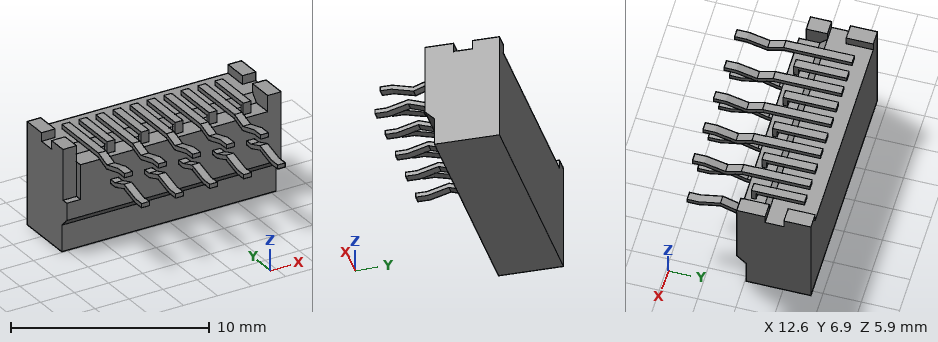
import cadquery as cq


body_length = 12.6
body_height = 5.9
body_depth = 3.88
foot_height = 1.52
foot_setback = 0.49

deck_height = 5.4
ledge_height = 4.98
ramp_back_y = -2.4
ramp_front_y = -2.78
post_length = 0.8
rear_post_depth = 1.41
front_post_depth = body_depth + ramp_back_y

corner_notch_depth = 0.38
corner_notch_bottom = 3.0

pin_count = 10
pin_row_span = 9.0
pin_pitch = pin_row_span / (pin_count - 1)
pin_width = 0.45
pin_thickness = 0.24
pin_back_y = -0.77
pin_tip_y = -6.9
bend_start_y = -4.32
bend_peak_y = -5.17
bend_end_y = -6.29
bend_rise = 0.3
leg_front_y = -3.54
row_spacing = 1.99

upper_row_z = deck_height + pin_thickness / 2
lower_row_z = upper_row_z - row_spacing


def make_post(side, front_y, depth):
    """Corner post from the ledge level to the top; side is -1 or +1 along X."""
    post_x = side * (body_length - post_length) / 2
    return (
        cq.Workplane("XY", origin=(post_x, front_y + depth / 2, ledge_height))
        .rect(post_length, depth)
        .extrude(body_height - ledge_height)
    )


def make_housing():
    """Stepped block with four corner posts and one notched front corner."""
    profile = [
        (0, 0),
        (0, deck_height),
        (ramp_back_y, deck_height),
        (ramp_front_y, ledge_height),
        (-body_depth, ledge_height),
        (-body_depth, foot_height + foot_setback),
        (foot_setback - body_depth, foot_height),
        (foot_setback - body_depth, 0),
    ]
    housing = cq.Workplane("YZ").polyline(profile).close().extrude(body_length / 2, both=True)
    for side in (-1, 1):
        housing = housing.union(make_post(side, -rear_post_depth, rear_post_depth))
        housing = housing.union(make_post(side, -body_depth, front_post_depth))

    corner_notch = cq.Workplane("XY").box(
        post_length, corner_notch_depth, body_height - corner_notch_bottom, centered=False
    ).translate((-body_length / 2, -body_depth, corner_notch_bottom))
    return housing.cut(corner_notch)


def sweep_pin(x, points):
    """Flat strip swept along centreline points (y, z), starting towards -Y."""
    path = cq.Workplane("YZ", origin=(x, 0, 0)).polyline(points)
    start_y, start_z = points[0]
    return (
        cq.Workplane("XZ", origin=(x, start_y, start_z))
        .rect(pin_width, pin_thickness)
        .sweep(path, transition="right")
    )


def bent_tail(row_z, direction):
    """Centreline of the contact outside the body; direction is the sign of the bend."""
    return [
        (bend_start_y, row_z),
        (bend_peak_y, row_z + direction * bend_rise),
        (bend_end_y, row_z),
        (pin_tip_y, row_z),
    ]


def make_upper_pin(x):
    """Pin that runs straight over the deck and bends downwards."""
    return sweep_pin(x, [(pin_back_y, upper_row_z)] + bent_tail(upper_row_z, -1))


def make_lower_pin(x):
    """Pin that drops through the ledge and leaves the front face lower down."""
    leg_y = leg_front_y + pin_thickness / 2
    route = [(pin_back_y, upper_row_z), (leg_y, upper_row_z), (leg_y, lower_row_z)]
    return sweep_pin(x, route + bent_tail(lower_row_z, 1))


connector = make_housing()
for index in range(pin_count):
    pin_x = index * pin_pitch - pin_row_span / 2
    if index % 2 == 0:
        pin = make_upper_pin(pin_x)
    else:
        pin = make_lower_pin(pin_x)
    connector = connector.union(pin)

result = connector.solids()